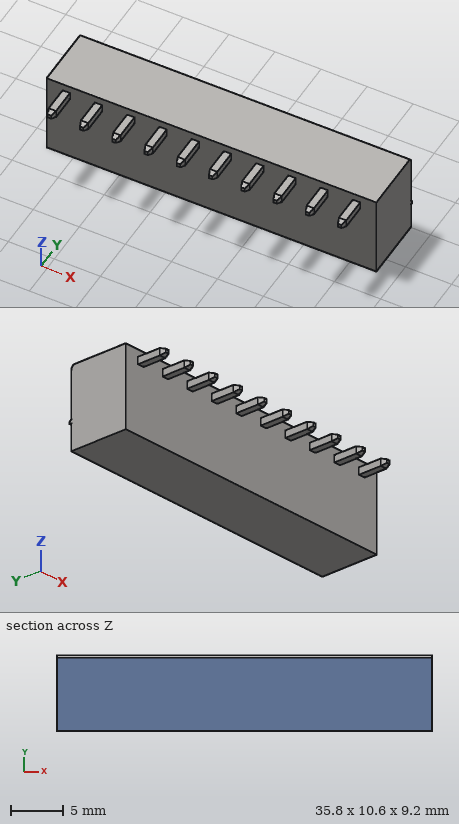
import cadquery as cq

PIN_COUNT = 10
PIN_PITCH = 3.5
END_MARGIN = 2.15
HOUSING_LENGTH = (PIN_COUNT - 1) * PIN_PITCH + 2 * END_MARGIN
HOUSING_DEPTH = 7.0
HOUSING_HEIGHT = 9.2
TOP_REAR_RADIUS = 0.5

PIN_SIZE = 0.8
PIN_LENGTH = 3.4
PIN_TIP_LENGTH = 0.6
PIN_TIP_SIZE = 0.4
PIN_DROP = 1.2
PIN_Z = HOUSING_HEIGHT - PIN_DROP

RIDGE_DEPTH = 0.24
RIDGE_CREST_HEIGHT = 0.2
RIDGE_HEIGHT = RIDGE_CREST_HEIGHT + RIDGE_DEPTH
RIDGE_BASE_Z = 3.0


def make_housing():
    """Rectangular block with its upper rear edge rounded."""
    block = cq.Workplane("XY").box(
        HOUSING_LENGTH, HOUSING_DEPTH, HOUSING_HEIGHT, centered=(True, False, False)
    )
    return block.edges(">Y and >Z").fillet(TOP_REAR_RADIUS)


def make_ridge():
    """Ridge running the full length of the rear face."""
    return (
        cq.Workplane("YZ", origin=(-HOUSING_LENGTH / 2, 0, 0))
        .moveTo(HOUSING_DEPTH, RIDGE_BASE_Z)
        .lineTo(HOUSING_DEPTH + RIDGE_DEPTH, RIDGE_BASE_Z)
        .lineTo(HOUSING_DEPTH + RIDGE_DEPTH, RIDGE_BASE_Z + RIDGE_CREST_HEIGHT)
        .lineTo(HOUSING_DEPTH, RIDGE_BASE_Z + RIDGE_HEIGHT)
        .close()
        .extrude(HOUSING_LENGTH)
    )


def make_pin(x):
    """Square pin projecting from the front face, ending in a truncated pyramid."""
    shank_length = PIN_LENGTH - PIN_TIP_LENGTH
    shank = (
        cq.Workplane("XZ", origin=(x, 0, PIN_Z))
        .rect(PIN_SIZE, PIN_SIZE)
        .extrude(shank_length)
    )
    tip = (
        cq.Workplane("XZ", origin=(x, -shank_length, PIN_Z))
        .rect(PIN_SIZE, PIN_SIZE)
        .workplane(offset=PIN_TIP_LENGTH)
        .rect(PIN_TIP_SIZE, PIN_TIP_SIZE)
        .loft(ruled=True)
    )
    return shank.union(tip)


result = make_housing().union(make_ridge())
first_pin_x = -HOUSING_LENGTH / 2 + END_MARGIN
for index in range(PIN_COUNT):
    result = result.union(make_pin(first_pin_x + index * PIN_PITCH))